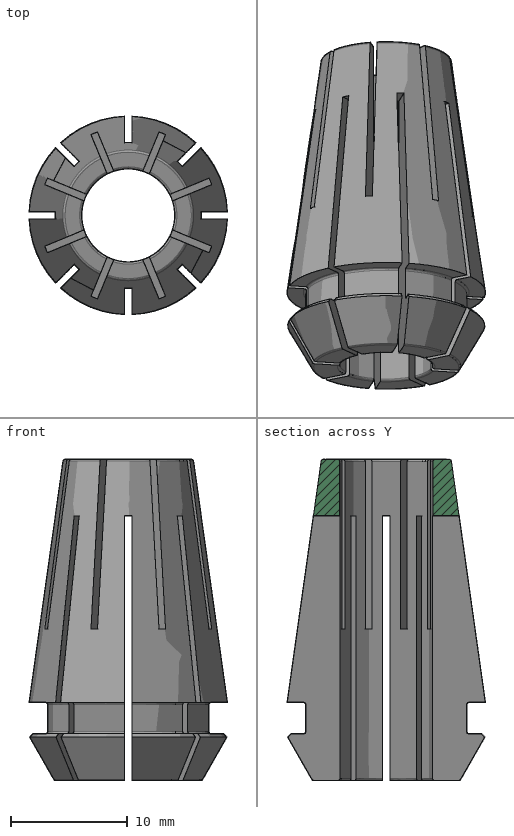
import cadquery as cq
import math

total_height = 27.5
bore_radius = 7.95 / 2

cone_base_radius = 8.5
cone_base_z = 6.68
cone_half_angle = 8.0
cone_top_radius = cone_base_radius - (total_height - cone_base_z) * math.tan(math.radians(cone_half_angle))

groove_radius = 6.9
groove_fillet = 0.2

lip_top_z = 4.02
lip_radius = 8.45
lip_chamfer = 0.3
foot_radius = 6.32

edge_fillet = 0.2

slots_per_end = 8
slot_width = 0.6
slot_length = 2 * cone_base_radius + slot_width
lower_slot_top_z = 22.65
upper_slot_bottom_z = 12.98


def make_body():
    """Revolved collet body with rounded groove corners and end edges."""
    body = (
        cq.Workplane("XZ")
        .moveTo(bore_radius, 0)
        .lineTo(foot_radius, 0)
        .lineTo(lip_radius, lip_top_z - lip_chamfer)
        .lineTo(lip_radius - lip_chamfer, lip_top_z)
        .lineTo(groove_radius + groove_fillet, lip_top_z)
        .radiusArc((groove_radius, lip_top_z + groove_fillet), groove_fillet)
        .lineTo(groove_radius, cone_base_z - groove_fillet)
        .radiusArc((groove_radius + groove_fillet, cone_base_z), groove_fillet)
        .lineTo(cone_base_radius, cone_base_z)
        .lineTo(cone_top_radius, total_height)
        .lineTo(bore_radius, total_height)
        .close()
        .revolve(360, (0, 0), (0, 1))
    )
    return body.faces("<Z or >Z").edges().fillet(edge_fillet)


def make_slots(bottom_z, top_z, start_angle):
    """Ring of radial slots; each box spans the full diameter and so cuts two opposite slots."""
    slots = cq.Workplane("XY")
    slot_pitch = 360 / slots_per_end
    for index in range(slots_per_end // 2):
        slots = slots.union(
            cq.Workplane("XY", origin=(0, 0, bottom_z))
            .transformed(rotate=(0, 0, start_angle + index * slot_pitch))
            .rect(slot_length, slot_width)
            .extrude(top_z - bottom_z)
        )
    return slots


lower_slots = make_slots(0, lower_slot_top_z, 0)
upper_slots = make_slots(upper_slot_bottom_z, total_height, 180 / slots_per_end)

result = make_body().cut(lower_slots).cut(upper_slots)